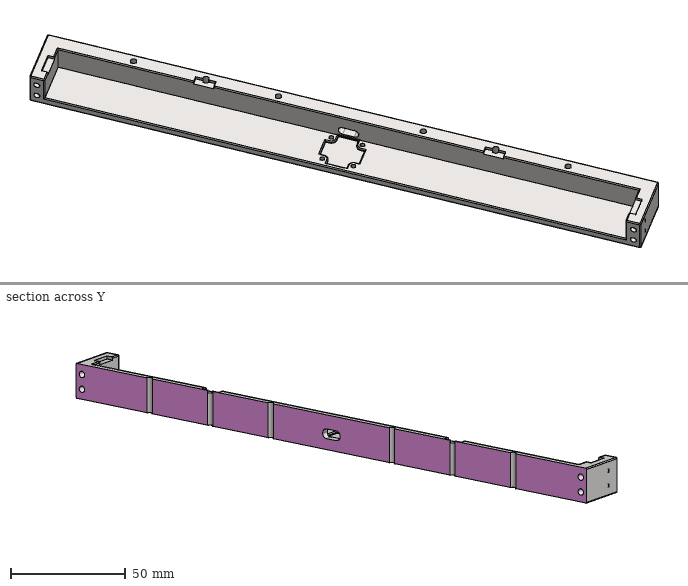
import cadquery as cq
length = 281.0
width = 26.1
height = 16.0
wall = 7.0
floor = 4.0
edge_chamfer = 0.5

screw_dia = 2.7
back_screw_span = 200.0
back_screw_inset = 3.7
end_screw_inset = 3.5
end_screw_spacing = 6.7

slit_width = 0.3
slit_height = 1.5
slit_from_front = 6.7

notch_length = 9.3
notch_reach = 3.0
notch_depth = 1.5

slot_length = 9.3
slot_height = 4.2
slot_corner_radius = 2.0
slot_center_z = 7.3

board_offset = 0.8
board_hole_dia = 2.0
board_hole_depth = 2.8
board_hole_span_x = 14.3
board_hole_span_y = 13.0
boss_dia = 5.0
recess_length = 18.0
recess_front_reach = 8.2
recess_depth = 1.0

sides = (-1, 1)
front_y = -width / 2
back_y = width / 2
wall_x = length / 2 - wall
wall_y = back_y - wall
cavity_y = (front_y + wall_y) / 2
board_y = cavity_y + board_offset
back_screw_pitch = back_screw_span / 6
end_screw_x = length / 2 - end_screw_inset
notch_x = 2 * back_screw_pitch


def block(center_x, center_y, bottom_z, x_size, y_size, z_size):
    base = cq.Workplane("XY", origin=(center_x, center_y, bottom_z))
    return base.rect(x_size, y_size).extrude(z_size)


def vertical_hole(x, y, bottom_z, diameter, depth):
    return cq.Workplane("XY", origin=(x, y, bottom_z)).circle(diameter / 2).extrude(depth)


def mouth_chamfer(normal, opening_depth):
    """Shallow 45 degree funnel, centred on the open front top edge and narrowing along the normal."""
    plane = cq.Plane(origin=(0, front_y, height), xDir=(1, 0, 0), normal=normal)
    mouth = cq.Workplane(plane).rect(2 * (wall_x + edge_chamfer), 2 * (opening_depth + edge_chamfer))
    return mouth.extrude(edge_chamfer, taper=45)


def tray():
    body = block(0, 0, 0, length, width, height).edges().chamfer(edge_chamfer)
    cavity_depth = height - floor
    cavity_width = wall_y - front_y
    cavity = block(0, front_y, floor, 2 * wall_x, 2 * cavity_width, 2 * cavity_depth)
    body = body.cut(cavity)
    body = body.cut(mouth_chamfer((0, 1, 0), cavity_depth))
    return body.cut(mouth_chamfer((0, 0, -1), cavity_width))


def back_wall_cuts(body):
    for step in (-3, -2, -1, 1, 2, 3):
        body = body.cut(vertical_hole(step * back_screw_pitch, back_y - back_screw_inset, 0, screw_dia, height))
    slot = cq.Workplane("XZ", origin=(0, back_y, slot_center_z)).rect(slot_length, slot_height).extrude(wall)
    return body.cut(slot.edges("|Y").fillet(slot_corner_radius))


def end_screw_holes(body):
    for side in sides:
        for level in sides:
            z = (height + level * end_screw_spacing) / 2
            hole = cq.Workplane("XZ", origin=(side * end_screw_x, back_y, z))
            body = body.cut(hole.circle(screw_dia / 2).extrude(width))
            slit_x = side * (length - end_screw_inset) / 2
            slit_y = front_y + slit_from_front
            slit = block(slit_x, slit_y, z - slit_height / 2, end_screw_inset, slit_width, slit_height)
            body = body.cut(slit)
    return body


def wall_notches(body):
    bottom_z = height - notch_depth
    for side in sides:
        body = body.cut(block(side * notch_x, wall_y, bottom_z, notch_length, 2 * notch_reach, notch_depth))
        body = body.cut(block(side * wall_x, cavity_y, bottom_z, 2 * notch_reach, notch_length, notch_depth))
    return body


def recess_outline(grow):
    """Rectangle with a rounded boss biting into each corner; growing it shrinks the bosses."""
    radius = boss_dia / 2 - grow
    half_length = recess_length / 2 + grow
    front = -recess_front_reach - grow
    back = wall_y - board_y + grow
    arc_offset = radius * 0.5 ** 0.5
    outline = cq.Workplane("XY", origin=(0, board_y, floor)).moveTo(0, front)
    for side_x, side_y in ((1, -1), (1, 1), (-1, 1), (-1, -1)):
        hole_x = side_x * board_hole_span_x / 2
        hole_y = side_y * board_hole_span_y / 2
        boss_x = hole_x - side_x * radius
        boss_y = hole_y - side_y * radius
        points = [
            (boss_x, front if side_y < 0 else back),
            (boss_x, hole_y),
            (hole_x - side_x * arc_offset, hole_y - side_y * arc_offset),
            (hole_x, boss_y),
            (side_x * half_length, boss_y),
        ]
        if side_x == side_y:
            points.reverse()
        outer_start, arc_start, arc_middle, arc_end, outer_end = points
        outline = outline.lineTo(*outer_start).lineTo(*arc_start)
        outline = outline.threePointArc(arc_middle, arc_end).lineTo(*outer_end)
    return outline.close()


def board_recess(body):
    body = body.cut(recess_outline(0).extrude(-recess_depth))
    body = body.cut(recess_outline(edge_chamfer).extrude(-edge_chamfer, taper=45))
    for side_x in sides:
        for side_y in sides:
            x = side_x * board_hole_span_x / 2
            y = board_y + side_y * board_hole_span_y / 2
            bottom_z = floor - board_hole_depth
            body = body.cut(vertical_hole(x, y, bottom_z, board_hole_dia, board_hole_depth))
    return body


result = tray()
result = back_wall_cuts(result)
result = end_screw_holes(result)
result = wall_notches(result)
result = board_recess(result)